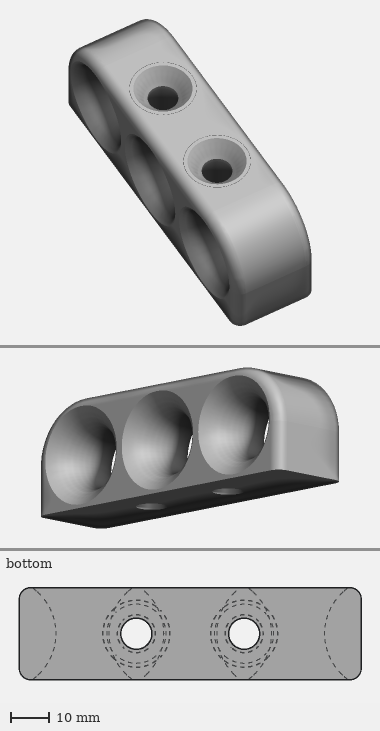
import cadquery as cq

length = 89.0
depth = 24.0
height = 29.5
shoulder_radius = 16.5
edge_fillet = 3.0

opening_pitch = 28.0
opening_height = 14.0
throat_diameter = 13.8
mouth_diameter = 26.2

bushing_offset = opening_pitch / 2
rim_diameter = 17.35
cone_mouth_diameter = 15.4
bore_diameter = 8.0
sleeve_diameter = 9.8
rim_height = 1.0
cone_depth = 4.0
bushing_length = 5.0
radial_clearance = 0.1
screw_hole_diameter = bore_diameter + 2 * radial_clearance


def make_blank():
    """Bar with rounded shoulders and filleted front and back edges."""
    bar = cq.Workplane("XY").box(length, depth, height, centered=(True, True, False))
    bar = bar.edges("|Y and >Z").fillet(shoulder_radius)
    outline_edges = bar.faces("<Y or >Y").edges("not <Z")
    return outline_edges.fillet(edge_fillet)


def make_flared_opening(x):
    """Cutter with an hourglass profile: one arc from mouth to throat to mouth."""
    mouth = mouth_diameter / 2
    throat = throat_diameter / 2
    profile = (
        cq.Workplane("XY")
        .moveTo(0, -depth / 2)
        .lineTo(mouth, -depth / 2)
        .threePointArc((throat, 0), (mouth, depth / 2))
        .lineTo(0, depth / 2)
        .close()
    )
    cutter = profile.revolve(360, (0, 0, 0), (0, 1, 0))
    return cutter.translate((x, 0, opening_height))


def bushing_envelope(x, clearance):
    """Outer shape of a bushing, enlarged radially by the clearance."""
    rim = rim_diameter / 2 + clearance
    sleeve = sleeve_diameter / 2 + clearance
    profile = (
        cq.Workplane("XZ")
        .moveTo(0, height)
        .lineTo(rim, height)
        .lineTo(rim, height - rim_height)
        .lineTo(sleeve, height - cone_depth)
        .lineTo(sleeve, height - bushing_length)
        .lineTo(0, height - bushing_length)
        .close()
    )
    return profile.revolve(360, (0, 0, 0), (0, 1, 0)).translate((x, 0, 0))


def make_bushing(x):
    """Flush bushing with a conical seat above a straight bore."""
    seat_profile = (
        cq.Workplane("XZ")
        .moveTo(0, height)
        .lineTo(cone_mouth_diameter / 2, height)
        .lineTo(bore_diameter / 2, height - cone_depth)
        .lineTo(bore_diameter / 2, height - bushing_length)
        .lineTo(0, height - bushing_length)
        .close()
    )
    seat = seat_profile.revolve(360, (0, 0, 0), (0, 1, 0)).translate((x, 0, 0))
    return bushing_envelope(x, 0).cut(seat)


def make_housing():
    """Bar with its flared openings, bushing recesses and screw holes."""
    body = make_blank()
    for x in (-opening_pitch, 0, opening_pitch):
        body = body.cut(make_flared_opening(x))
    for x in (-bushing_offset, bushing_offset):
        body = body.cut(bushing_envelope(x, radial_clearance))
        screw_hole = cq.Workplane("XY").center(x, 0).circle(screw_hole_diameter / 2).extrude(height)
        body = body.cut(screw_hole)
    return body


housing = make_housing()
bushings = [make_bushing(x) for x in (-bushing_offset, bushing_offset)]

result = cq.Compound.makeCompound([housing.val(), *[bushing.val() for bushing in bushings]])